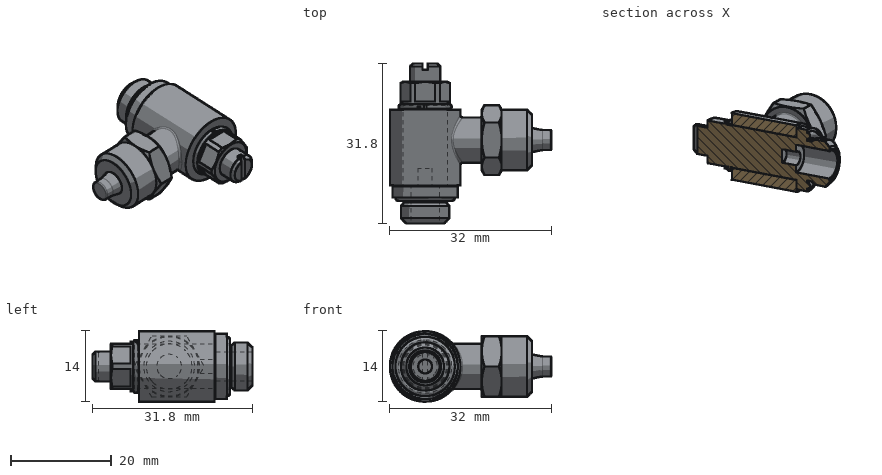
import cadquery as cq
import math


COS_30 = math.cos(math.radians(30))
TAN_30 = math.tan(math.radians(30))

housing_radius = 7.0
housing_top = 6.0
housing_bottom = -9.0

arm_radius = 4.5
arm_root_fillet = 0.4
arm_nut_fillet = 0.2
nut_start = 11.17
hex_end = 15.17
nut_end = 21.2
nozzle_flare_end = 23.25
nozzle_end = 25.0
hex_apothem = 6.0
hex_corner_radius = hex_apothem / COS_30
hex_face_radius = 5.9
nut_radius = 6.0
nut_end_chamfer = 1.0
nozzle_root_radius = 2.43
nozzle_radius = 2.0
nozzle_flare_sag = 0.03
nozzle_end_fillet = 0.25

stem_bottom = -16.55
thread_bottom = -15.5
thread_top = -13.05
relief_bottom = -12.4
collar_bottom = -11.42
flange_bottom = 7.17
hex_head_bottom = 7.65
hex_head_top = 11.6
knob_top = 15.2
shank_radius = 4.4
thread_radius = 4.8
thread_tip_radius = 3.75
relief_radius = 4.22
collar_radius = 6.5
collar_chamfer = 0.15
flange_radius = 4.93
hex_head_apothem = 4.5
hex_head_chamfer_height = 0.32
hex_head_chamfer_width = hex_head_chamfer_height / TAN_30
knob_radius = 3.0
knob_chamfer = 0.6
screw_slot_width = 0.95
screw_slot_depth = 1.2

seal_center_radius = 5.2
seal_section_radius = 0.67
ring_section_radius = 0.48
ring_center_radius = 4.8
ring_center_y = (flange_bottom + housing_top) / 2
ring_gap_width = 0.5

bore_mouth_radius = 3.17
bore_mouth_step = 0.05
bore_radius = 2.85
bore_depth = 7.68
inner_hole_radius = 1.38
inner_hole_depth = 3.2


def cylinder_y(radius, start, end):
    """Cylinder on the stem axis between two Y positions."""
    return cq.Workplane("XZ", origin=(0, start, 0)).circle(radius).extrude(start - end)


def cylinder_x(radius, start, end):
    """Cylinder on the arm axis between two X positions."""
    return cq.Workplane("YZ", origin=(start, 0, 0)).circle(radius).extrude(end - start)


def torus_y(center_radius, section_radius, center_y):
    """Round ring about the stem axis."""
    section = cq.Workplane("XY").center(center_radius, center_y).circle(section_radius)
    return section.revolve(360, (-center_radius, 0), (-center_radius, 1))


def make_hose_nut():
    """Hexagon with chamfered corners, round sleeve and flared nozzle, as one solid."""
    chamfer_start = (hex_corner_radius - hex_face_radius) * TAN_30
    chamfer_end = (hex_corner_radius - nut_radius) * TAN_30
    hexagon = (
        cq.Workplane("YZ", origin=(nut_start, 0, 0))
        .polygon(6, 2 * hex_corner_radius)
        .extrude(hex_end - nut_start)
    )
    corner_envelope = (
        cq.Workplane("XY")
        .moveTo(nut_start, 0)
        .lineTo(nut_start, hex_face_radius)
        .lineTo(nut_start + chamfer_start, hex_corner_radius)
        .lineTo(hex_end - chamfer_end, hex_corner_radius)
        .lineTo(hex_end, nut_radius)
        .lineTo(hex_end, 0)
        .close()
        .revolve(360, (0, 0), (1, 0))
    )
    sleeve = cylinder_x(nut_radius, hex_end, nut_end).faces(">X").chamfer(nut_end_chamfer)
    nozzle = (
        cq.Workplane("XY")
        .moveTo(nut_end, 0)
        .lineTo(nut_end, nozzle_root_radius)
        .sagittaArc((nozzle_flare_end, nozzle_radius), -nozzle_flare_sag)
        .lineTo(nozzle_end, nozzle_radius)
        .lineTo(nozzle_end, 0)
        .close()
        .revolve(360, (0, 0), (1, 0))
        .faces(">X")
        .edges()
        .fillet(nozzle_end_fillet)
    )
    return hexagon.intersect(corner_envelope).union(sleeve).union(nozzle)


def make_swivel():
    """Housing, side arm and hose nut, bored through for the stem."""
    barrel = cylinder_y(housing_radius, housing_bottom, housing_top)
    arm = cylinder_x(arm_radius, 0, nut_start)
    tee = barrel.union(arm)
    margin = arm_root_fillet
    root_box = cq.selectors.BoxSelector(
        (0, -arm_radius - margin, -arm_radius - margin),
        (housing_radius + margin, arm_radius + margin, arm_radius + margin),
        boundingbox=True,
    )
    tee = tee.edges(root_box).fillet(arm_root_fillet)
    arm_flare = (
        cq.Workplane("XY")
        .moveTo(nut_start - arm_nut_fillet, 0)
        .lineTo(nut_start - arm_nut_fillet, arm_radius)
        .radiusArc((nut_start, arm_radius + arm_nut_fillet), -arm_nut_fillet)
        .lineTo(nut_start, 0)
        .close()
        .revolve(360, (0, 0), (1, 0))
    )
    stem_hole = cylinder_y(shank_radius, housing_bottom, housing_top)
    return tee.union(arm_flare).union(make_hose_nut()).cut(stem_hole)


def make_flat_cutter():
    """Everything outside the hexagon over the height of the head."""
    hexagon = (
        cq.Workplane("XZ", origin=(0, hex_head_bottom, 0))
        .polygon(6, 2 * hex_head_apothem / COS_30)
        .extrude(hex_head_bottom - hex_head_top)
    )
    return cylinder_y(2 * flange_radius, hex_head_bottom, hex_head_top).cut(hexagon)


def make_screw_knob():
    """Adjusting screw end with a chamfered rim and a driver slot along Z."""
    knob = cylinder_y(knob_radius, hex_head_top, knob_top).faces(">Y").chamfer(knob_chamfer)
    slot = cq.Workplane("XY").box(screw_slot_width, 2 * screw_slot_depth, 2 * knob_radius)
    return knob.cut(slot.translate((0, knob_top, 0)))


def make_split_ring():
    """Round ring with a narrow gap on its +Z side."""
    ring = torus_y(ring_center_radius, ring_section_radius, ring_center_y)
    gap = cq.Workplane("XY").box(ring_gap_width, 4 * ring_section_radius, 4 * ring_section_radius)
    return ring.cut(gap.translate((0, ring_center_y, ring_center_radius)))


def make_stem_bore():
    """Stepped blind bore that opens at the threaded end."""
    mouth_floor = stem_bottom + bore_mouth_step
    bore_floor = stem_bottom + bore_depth
    hole_floor = bore_floor + inner_hole_depth
    return (
        cq.Workplane("XY")
        .moveTo(0, stem_bottom)
        .lineTo(bore_mouth_radius, stem_bottom)
        .lineTo(bore_mouth_radius - bore_mouth_step, mouth_floor)
        .lineTo(bore_radius, mouth_floor)
        .lineTo(bore_radius, bore_floor)
        .lineTo(inner_hole_radius, bore_floor)
        .lineTo(inner_hole_radius, hole_floor)
        .lineTo(0, hole_floor)
        .close()
        .revolve(360, (0, 0), (0, 1))
    )


def make_stem():
    """Turned stem with thread end, collar, shank and hex head, plus screw and rings."""
    turned = (
        cq.Workplane("XY")
        .moveTo(0, stem_bottom)
        .lineTo(thread_tip_radius, stem_bottom)
        .lineTo(thread_radius, thread_bottom)
        .lineTo(thread_radius, thread_top)
        .lineTo(relief_radius, relief_bottom)
        .lineTo(relief_radius, collar_bottom)
        .lineTo(collar_radius, collar_bottom)
        .lineTo(collar_radius, housing_bottom - collar_chamfer)
        .lineTo(collar_radius - collar_chamfer, housing_bottom)
        .lineTo(shank_radius, housing_bottom)
        .lineTo(shank_radius, flange_bottom)
        .lineTo(flange_radius, flange_bottom)
        .lineTo(flange_radius, hex_head_top - hex_head_chamfer_height)
        .lineTo(flange_radius - hex_head_chamfer_width, hex_head_top)
        .lineTo(0, hex_head_top)
        .close()
        .revolve(360, (0, 0), (0, 1))
    )
    seal = torus_y(seal_center_radius, seal_section_radius, collar_bottom)
    stem = turned.cut(make_flat_cutter()).cut(make_stem_bore())
    return stem.union(seal).union(make_split_ring()).union(make_screw_knob())


swivel = make_swivel()
stem = make_stem()
result = cq.Compound.makeCompound([swivel.solids().val(), stem.solids().val()])